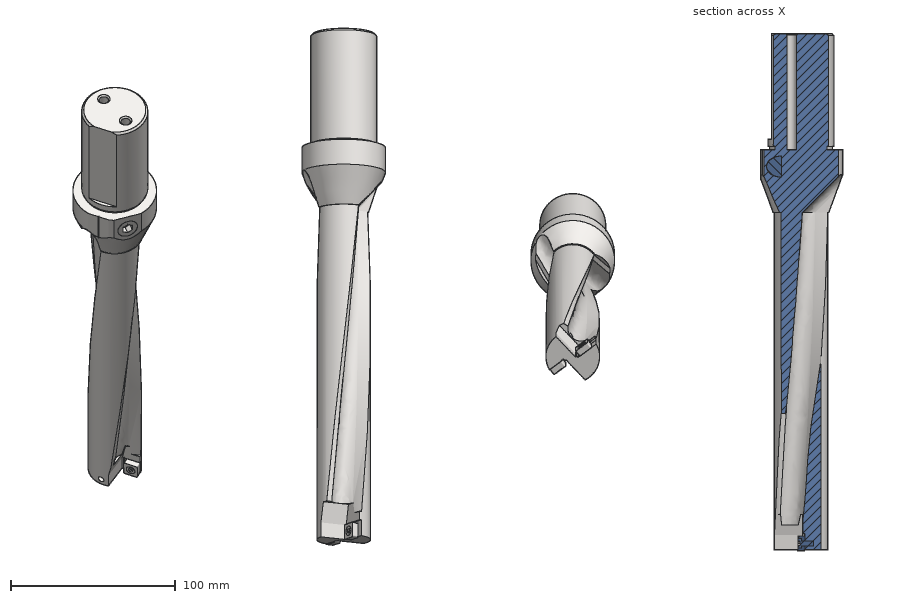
import cadquery as cq
import math

TOTAL_LENGTH = 313.5
BODY_BOTTOM = 0.5
POCKET_BEND = 9.5
FLUTE_BOTTOM = 15.7
POCKET_TOP = 22.0
NECK_TOP = 205.0
CONE_TOP = 227.8
FLANGE_TOP = 243.2
UNDERCUT_TOP = 245.0
SHANK_FLAT_BOTTOM = 249.5

NECK_RADIUS = 16.3
CONE_FOOT_RADIUS = 17.0
FLANGE_RADIUS = 25.5
UNDERCUT_RADIUS = 19.0
SHANK_RADIUS = 20.0
SHANK_CHAMFER = 1.3

FRONT_ANGLE = -90.0
SHANK_FLAT_DISTANCE = 18.0
FLANGE_FLAT_DISTANCE = 24.5
MARK_WIDTH = 1.0
PLUG_FLAT_DISTANCE = 23.8
PLUG_FLAT_ANGLE = -47.0
FLAT_FOOT = CONE_TOP - 6.3
CUTTER_SIZE = 62.7

FLUTE_COUNT = 2
FLUTE_TWIST = 75.0
FLUTE_FACE = 2.0
FLUTE_FACE_START = 8.8
FLUTE_ROUND_RADIUS = 7.8
FLUTE_ARC_MIDDLE = 60.0
FLUTE_LIP = (-13.8, -2.0)
FLUTE_LIP_EDGE = (-16.3, 0.0)
FLUTE_REACH = 29.8
RUNOUT_LENGTH = 28.2

POCKET_SHIFTS = [0.0, -3.0]
POCKET_FLOOR = 1.0
POCKET_WALL_INNER = 4.5
POCKET_WALL_OUTER = 1.5
POCKET_LEAN = 2.5
SEAT_INNER = 5.3
SEAT_TOP = 10.3
INSERT_SIZE = 9.0
INSERT_THICKNESS = 4.0
INSERT_CORNER = 1.0
INSERT_X = 11.3
INSERT_FACE = -2.0
INSERT_BACK = INSERT_FACE + INSERT_THICKNESS
INSERT_Z = INSERT_SIZE / 2

SCREW_HEAD_RADIUS = 2.8
SCREW_HEAD_DEPTH = 2.2
SCREW_SHAFT_RADIUS = 1.5
SCREW_LENGTH = 9.5
SCREW_SOCKET_WIDTH = 2.8
SCREW_SOCKET_DEPTH = 1.3

PLUG_RADIUS = 6.3
PLUG_DEPTH = 7.8
PLUG_SOCKET_WIDTH = 7.0
PLUG_SOCKET_DEPTH = 4.7
PLUG_Z = 232.8

COOLANT_X = 9.7
COOLANT_Y = -5.5
COOLANT_RADIUS = 2.8
COOLANT_CHAMFER = 1.0
COOLANT_DEPTH = TOTAL_LENGTH - FLANGE_TOP
PORT_RADIUS = 2.0
PORT_X = -2.0
PORT_Z = 4.7
PORT_DEPTH = 6.3


def around_axis(shape, index):
    """Turn a shape about Z to the flute with the given index."""
    return shape.rotate((0, 0, 0), (0, 0, 1), index * 360.0 / FLUTE_COUNT)


def at_pocket(shape, index):
    """Place a shape drawn for the peripheral pocket at the pocket with the given index."""
    return around_axis(shape.translate((POCKET_SHIFTS[index], 0, 0)), index)


def turned_body():
    profile = [
        (0, BODY_BOTTOM),
        (NECK_RADIUS, BODY_BOTTOM),
        (NECK_RADIUS, NECK_TOP),
        (CONE_FOOT_RADIUS, NECK_TOP),
        (FLANGE_RADIUS, CONE_TOP),
        (FLANGE_RADIUS, FLANGE_TOP),
        (UNDERCUT_RADIUS, FLANGE_TOP),
        (UNDERCUT_RADIUS, UNDERCUT_TOP),
        (SHANK_RADIUS, UNDERCUT_TOP),
        (SHANK_RADIUS, TOTAL_LENGTH - SHANK_CHAMFER),
        (SHANK_RADIUS - SHANK_CHAMFER, TOTAL_LENGTH),
        (0, TOTAL_LENGTH),
    ]
    return cq.Workplane("XZ").polyline(profile).close().revolve(360, (0, 0), (0, 1))


def flat_cutter(distance, angle, bottom, top):
    """Block that leaves a flat facing the given direction at a distance from the axis."""
    block = cq.Workplane("XY").box(
        CUTTER_SIZE, CUTTER_SIZE, top - bottom, centered=(False, True, False)
    )
    return block.translate((distance, 0, bottom)).rotate((0, 0, 0), (0, 0, 1), angle)


def flange_mark():
    """Narrow V groove down the middle of the front flange flat."""
    return (
        cq.Workplane("XY", origin=(0, -FLANGE_FLAT_DISTANCE, FLAT_FOOT))
        .polyline([(-MARK_WIDTH / 2, 0), (MARK_WIDTH / 2, 0), (0, MARK_WIDTH / 2)])
        .close()
        .extrude(FLANGE_TOP - FLAT_FOOT)
    )


def flute_profile(z):
    """Flute section as it stands at the neck top: chip face facing -X, lip at -X."""
    centre = (-FLUTE_FACE - FLUTE_ROUND_RADIUS, -FLUTE_FACE_START)
    middle_angle = math.radians(FLUTE_ARC_MIDDLE)
    middle = (
        centre[0] + FLUTE_ROUND_RADIUS * math.cos(middle_angle),
        centre[1] + FLUTE_ROUND_RADIUS * math.sin(middle_angle),
    )
    return (
        cq.Workplane("XY", origin=(0, 0, z))
        .moveTo(-FLUTE_FACE, -FLUTE_REACH)
        .lineTo(-FLUTE_FACE, -FLUTE_FACE_START)
        .threePointArc(middle, FLUTE_LIP)
        .lineTo(*FLUTE_LIP_EDGE)
        .lineTo(-FLUTE_REACH, FLUTE_LIP_EDGE[1])
        .lineTo(-FLUTE_REACH, -FLUTE_REACH)
        .close()
    )


def helical_flute():
    cutter = flute_profile(FLUTE_BOTTOM).twistExtrude(NECK_TOP - FLUTE_BOTTOM, FLUTE_TWIST)
    return cutter.rotate((0, 0, 0), (0, 0, 1), -FLUTE_TWIST)


def pushed_out(workplane, shift):
    """Solid swept by the pending outline of a workplane along a straight oblique shift."""
    return cq.Workplane(cq.Solid.extrudeLinear(workplane.wire().val(), [], cq.Vector(*shift)))


def flute_runout():
    """Flute section pushed out of the cone."""
    return pushed_out(flute_profile(NECK_TOP), (0, -RUNOUT_LENGTH, RUNOUT_LENGTH))


def pocket_profile(z):
    """Chip space at the tip, open to -Y and +X, with a slanted wall."""
    return (
        cq.Workplane("XY", origin=(0, 0, z))
        .polyline([
            (POCKET_WALL_OUTER, -FLUTE_REACH),
            (POCKET_WALL_INNER, POCKET_FLOOR),
            (FLUTE_REACH, POCKET_FLOOR),
            (FLUTE_REACH, -FLUTE_REACH),
        ])
        .close()
    )


def insert_pocket():
    """Straight chip space whose upper part leans outward."""
    straight = pocket_profile(0).extrude(POCKET_BEND)
    leaning = pushed_out(pocket_profile(POCKET_BEND), (POCKET_LEAN, 0, POCKET_TOP - POCKET_BEND))
    return straight.union(leaning)


def insert_seat():
    """Recess in the pocket floor that the insert rests on."""
    return cq.Workplane("XY").box(
        FLUTE_REACH, INSERT_BACK - INSERT_FACE, SEAT_TOP, centered=False
    ).translate((SEAT_INNER, INSERT_FACE, 0))


def insert_blank():
    return (
        cq.Workplane("XY")
        .box(INSERT_SIZE, INSERT_THICKNESS, INSERT_SIZE)
        .edges("|Y")
        .fillet(INSERT_CORNER)
        .translate((INSERT_X, INSERT_FACE + INSERT_THICKNESS / 2, INSERT_Z))
    )


def screw_blank():
    """Screw outline with a flat head flush with the insert face."""
    start = cq.Workplane("XZ", origin=(INSERT_X, INSERT_FACE, INSERT_Z))
    head = start.circle(SCREW_HEAD_RADIUS).extrude(-SCREW_HEAD_DEPTH)
    shaft = start.circle(SCREW_SHAFT_RADIUS).extrude(-SCREW_LENGTH)
    return head.union(shaft)


def make_insert():
    return insert_blank().cut(screw_blank())


def make_insert_screw():
    socket = (
        cq.Workplane("XZ", origin=(INSERT_X, INSERT_FACE, INSERT_Z))
        .polygon(6, SCREW_SOCKET_WIDTH)
        .extrude(-SCREW_SOCKET_DEPTH)
    )
    return screw_blank().cut(socket)


def plug_plane():
    """Plane on the slanted flange flat, with its normal pointing out of the flange."""
    angle = math.radians(PLUG_FLAT_ANGLE)
    normal = cq.Vector(math.cos(angle), math.sin(angle), 0)
    origin = normal * PLUG_FLAT_DISTANCE + cq.Vector(0, 0, PLUG_Z)
    return cq.Workplane(cq.Plane(origin, xDir=(0, 0, 1), normal=normal))


def plug_blank():
    return plug_plane().circle(PLUG_RADIUS).extrude(-PLUG_DEPTH)


def make_plug():
    socket = plug_plane().polygon(6, PLUG_SOCKET_WIDTH).extrude(-PLUG_SOCKET_DEPTH)
    return plug_blank().cut(socket)


def coolant_inlet():
    """Blind bore in the shank end with a chamfered mouth."""
    start = cq.Workplane("XY", origin=(COOLANT_X, COOLANT_Y, TOTAL_LENGTH))
    bore = start.circle(COOLANT_RADIUS).extrude(-COOLANT_DEPTH)
    mouth = start.circle(COOLANT_RADIUS + COOLANT_CHAMFER).extrude(-COOLANT_CHAMFER, taper=45)
    return bore.union(mouth)


def coolant_port():
    """Short outlet in the side of the tip."""
    return (
        cq.Workplane("XZ", origin=(PORT_X, -NECK_RADIUS + PORT_DEPTH, PORT_Z))
        .circle(PORT_RADIUS)
        .extrude(CUTTER_SIZE)
    )


def make_body():
    body = turned_body()
    body = body.cut(flat_cutter(SHANK_FLAT_DISTANCE, FRONT_ANGLE, SHANK_FLAT_BOTTOM, TOTAL_LENGTH))
    body = body.cut(flat_cutter(FLANGE_FLAT_DISTANCE, FRONT_ANGLE, FLAT_FOOT, FLANGE_TOP))
    body = body.cut(flat_cutter(PLUG_FLAT_DISTANCE, PLUG_FLAT_ANGLE, FLAT_FOOT, FLANGE_TOP))
    body = body.cut(flange_mark())
    body = body.cut(plug_blank())
    body = body.cut(coolant_port())
    for tool in [helical_flute(), flute_runout(), coolant_inlet()]:
        for index in range(FLUTE_COUNT):
            body = body.cut(around_axis(tool, index))
    for tool in [insert_pocket(), insert_seat(), screw_blank()]:
        for index in range(FLUTE_COUNT):
            body = body.cut(at_pocket(tool, index))
    return body


body = make_body()
plug = make_plug()
inserts = [at_pocket(make_insert(), index) for index in range(FLUTE_COUNT)]
insert_screws = [at_pocket(make_insert_screw(), index) for index in range(FLUTE_COUNT)]

result = cq.Compound.makeCompound([
    body.val(),
    plug.val(),
    *[insert.val() for insert in inserts],
    *[screw.val() for screw in insert_screws],
])